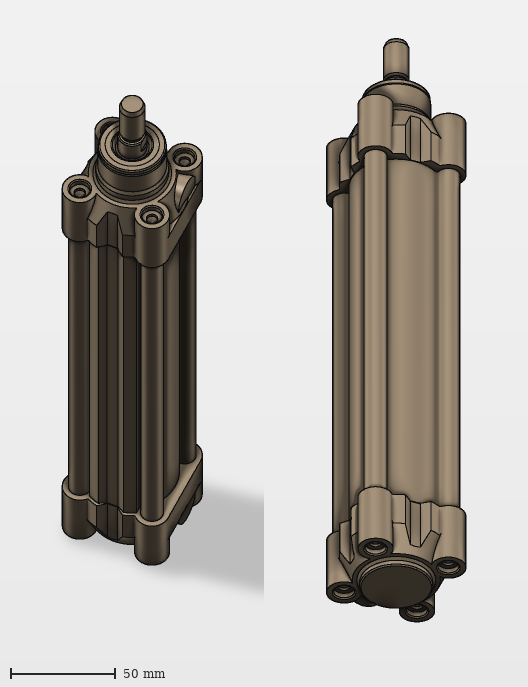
import cadquery as cq
import math

total_length = 323.0
cap_width = 54.5

corner_radius = 8.5
corner_offset = cap_width / 2 - corner_radius
corner_places = [(sx * corner_offset, sy * corner_offset) for sx in (-1, 1) for sy in (-1, 1)]
cap_length = 30.7
rear_spigot_height = 4.2
barrel_start = rear_spigot_height + cap_length
barrel_length = 203.2
barrel_end = barrel_start + barrel_length
front_face = barrel_end + cap_length

web_radius = 27.0
web_fillet = 0.5
cone_top_radius = 21.0
cone_height = 13.5
web_groove_floor = 23.0
web_groove_floor_half = 2.5
web_groove_mouth_half = 8.0
web_groove_mouth = 27.5

port_radius = 10.0
port_offset = 5.8
port_drop = 11.0
port_face = 26.2

spigot_radius = 17.5
spigot_foot = 1.3
spigot_chamfer = 0.5

nose_radius = 16.5
nose_top = 291.0
nose_shoulder = 273.5
nose_taper = 2.0
nose_rim_radius = 16.0
nose_rim_start = 287.5
nose_rim_taper = 1.0
nose_rim_chamfer = 0.5

recess_mouth_diameter = 11.3
recess_diameter = 10.0
recess_lead = 0.5
recess_depth = 3.2
socket_diameter = 5.5
socket_depth = 1.5
socket_tip_depth = 1.5

bearing_diameter = 26.0
bearing_depth = 13.0
wiper_diameter = 20.5
wiper_depth = 5.0
wiper_rim = 0.5
wiper_lip_diameter = 16.0
wiper_lip_drop = 2.3

rod_diameter = 14.0
rod_shoulder = 299.5
rod_chamfer = 0.5
thread_diameter = 12.3
thread_start = 302.0
tip_chamfer = 2.5
tip_inset = 1.0
neck_diameter = 10.3
flat_width = 12.3
flat_start = 292.5

barrel_radius = 22.5
barrel_corner_radius = 5.5
barrel_fillet = 1.0
rail_radius = 25.5
rail_half_width = 12.3
rail_groove_floor_half = 3.0
rail_groove_ledge = 24.5
rail_groove_ledge_half = 6.5
rail_groove_step_half = 7.8
rail_groove_mouth_half = 9.0

edge_tolerance = 0.03


def revolve_profile(points):
    """Solid of revolution about Z from (radius, height) points."""
    return cq.Workplane("XZ").polyline(points).close().revolve(360, (0, 0, 0), (0, 1, 0))


def cylinder(diameter, bottom, top):
    """Cylinder on the Z axis between two heights."""
    return cq.Workplane("XY").workplane(offset=bottom).circle(diameter / 2).extrude(top - bottom)


def inner_corner_edges(body, radius):
    """Upright edges where the corner columns meet a cylinder of the given radius."""
    edges = []
    for edge in body.edges("|Z").vals():
        middle = edge.Center()
        on_radius = math.isclose(math.hypot(middle.x, middle.y), radius, abs_tol=edge_tolerance)
        beside_column = min(abs(middle.x), abs(middle.y)) > corner_offset - corner_radius
        if on_radius and beside_column:
            edges.append(edge)
    return body.newObject(edges)


def v_groove(floor, floor_half, mouth, mouth_half, length):
    """Tapered groove cutter along +Z that opens towards -Y."""
    outline = [(-floor_half, -floor), (floor_half, -floor), (mouth_half, -mouth), (-mouth_half, -mouth)]
    return cq.Workplane("XY").polyline(outline).close().extrude(length)


def corner_recess():
    """Stepped fastener recess below a face at Z = 0."""
    mouth = recess_mouth_diameter / 2
    bore = recess_diameter / 2
    socket = socket_diameter / 2
    socket_floor = -recess_depth - socket_depth
    return revolve_profile([
        (0, 0),
        (mouth, 0),
        (bore, -recess_lead),
        (bore, -recess_depth),
        (socket, -recess_depth),
        (socket, socket_floor),
        (0, socket_floor - socket_tip_depth),
    ])


def cap_block():
    """Cap without spigot: inner face at Z = 0, outer face at Z = cap_length."""
    block = revolve_profile([
        (0, 0),
        (web_radius, 0),
        (web_radius, cap_length - cone_height),
        (cone_top_radius, cap_length),
        (0, cap_length),
    ])
    port = (
        cq.Workplane("YZ")
        .center(port_offset, cap_length - port_drop)
        .circle(port_radius)
        .extrude(port_face)
    )
    pad_height = cap_length - cone_height
    pad = cq.Workplane("XY").box(cap_width / 2, 2 * corner_offset, pad_height, centered=(False, True, False))
    corners = cq.Workplane("XY").pushPoints(corner_places).circle(corner_radius).extrude(cap_length)
    block = block.union(corners)
    block = inner_corner_edges(block, web_radius).fillet(web_fillet)
    block = block.union(port).union(pad)
    groove = v_groove(
        web_groove_floor, web_groove_floor_half, web_groove_mouth, web_groove_mouth_half, cap_length
    )
    groove_sides = (0, -90, 180)
    for angle in groove_sides:
        block = block.cut(groove.rotate((0, 0, 0), (0, 0, 1), angle))
    for x, y in corner_places:
        block = block.cut(corner_recess().translate((x, y, cap_length)))
    return block


def make_rear_cap():
    """Rear cap with its short locating spigot."""
    spigot = revolve_profile([
        (0, 0),
        (spigot_radius - spigot_chamfer, 0),
        (spigot_radius, spigot_chamfer),
        (spigot_radius, rear_spigot_height - spigot_foot),
        (spigot_radius + spigot_foot, rear_spigot_height),
        (0, rear_spigot_height),
    ])
    block = cap_block().mirror("XY").translate((0, 0, barrel_start))
    return block.union(spigot)


def make_front_cap():
    """Front cap with its nose, bored for the rod and the bearing ring."""
    nose = revolve_profile([
        (0, front_face),
        (spigot_radius + spigot_foot, front_face),
        (spigot_radius, front_face + spigot_foot),
        (spigot_radius, nose_shoulder),
        (nose_radius, nose_shoulder + nose_taper),
        (nose_radius, nose_rim_start),
        (nose_rim_radius, nose_rim_start + nose_rim_taper),
        (nose_rim_radius, nose_top - nose_rim_chamfer),
        (nose_rim_radius - nose_rim_chamfer, nose_top),
        (0, nose_top),
    ])
    cap = cap_block().translate((0, 0, barrel_end)).union(nose)
    bearing_seat = cylinder(bearing_diameter, nose_top - bearing_depth, nose_top)
    rod_bore = cylinder(rod_diameter, barrel_end, nose_top)
    return cap.cut(bearing_seat).cut(rod_bore)


def make_bearing_ring():
    """Guide ring in the nose, recessed for the wiper."""
    ring = cylinder(bearing_diameter, nose_top - bearing_depth, nose_top)
    wiper_seat = cylinder(wiper_diameter, nose_top - wiper_depth, nose_top)
    rod_bore = cylinder(rod_diameter, nose_top - bearing_depth, nose_top)
    return ring.cut(wiper_seat).cut(rod_bore)


def make_wiper():
    """Sealing ring with a funnel that slopes down to a flat lip around the rod."""
    outside = wiper_diameter / 2
    inside = rod_diameter / 2
    bottom = nose_top - wiper_depth
    lip_height = nose_top - wiper_lip_drop
    return revolve_profile([
        (inside, bottom),
        (outside, bottom),
        (outside, nose_top),
        (outside - wiper_rim, nose_top),
        (wiper_lip_diameter / 2, lip_height),
        (inside, lip_height),
    ])


def make_rod():
    """Piston rod with wrench flats and a threaded end, threads left plain."""
    rod_radius = rod_diameter / 2
    thread_radius = thread_diameter / 2
    neck_radius = neck_diameter / 2
    rod = revolve_profile([
        (0, barrel_end),
        (rod_radius, barrel_end),
        (rod_radius, rod_shoulder - rod_chamfer),
        (rod_radius - rod_chamfer, rod_shoulder),
        (neck_radius, rod_shoulder),
        (neck_radius, thread_start - (thread_radius - neck_radius)),
        (thread_radius, thread_start),
        (thread_radius, total_length - tip_chamfer),
        (thread_radius - tip_inset, total_length),
        (0, total_length),
    ])
    flat_height = rod_shoulder - flat_start
    for side in (-1, 1):
        waste = cq.Workplane("XY").box(rod_radius, rod_diameter, flat_height).translate(
            (side * (flat_width + rod_radius) / 2, 0, flat_start + flat_height / 2)
        )
        rod = rod.cut(waste)
    return rod


def rail_pair():
    """Two sensor rails on the -Y side with a stepped V groove between them."""
    rails = cylinder(2 * rail_radius, barrel_start, barrel_end)
    rail_width = 2 * rail_half_width
    keep = cq.Workplane("XY").box(rail_width, rail_radius, total_length, centered=(True, False, False))
    rails = rails.intersect(keep.translate((0, -rail_radius, 0)))
    half_outline = [
        (rail_groove_floor_half, -barrel_radius),
        (rail_groove_ledge_half, -rail_groove_ledge),
        (rail_groove_step_half, -rail_groove_ledge),
        (rail_groove_mouth_half, -rail_radius),
    ]
    mirrored = [(-x, y) for x, y in reversed(half_outline)]
    groove = cq.Workplane("XY").polyline(half_outline + mirrored).close().extrude(total_length)
    floor = cq.Workplane("XY").circle(barrel_radius).extrude(total_length)
    return rails.cut(groove.cut(floor))


def make_barrel():
    """Round barrel with four corner columns and the sensor rails."""
    barrel = cylinder(2 * barrel_radius, barrel_start, barrel_end)
    corners = (
        cq.Workplane("XY")
        .workplane(offset=barrel_start)
        .pushPoints(corner_places)
        .circle(barrel_corner_radius)
        .extrude(barrel_length)
    )
    barrel = barrel.union(corners)
    barrel = inner_corner_edges(barrel, barrel_radius).fillet(barrel_fillet)
    return barrel.union(rail_pair())


rear_cap = make_rear_cap()
front_cap = make_front_cap()
barrel = make_barrel()
rod = make_rod()
bearing_ring = make_bearing_ring()
wiper = make_wiper()

result = cq.Compound.makeCompound([
    rear_cap.val(),
    front_cap.val(),
    barrel.val(),
    rod.val(),
    bearing_ring.val(),
    wiper.val(),
])